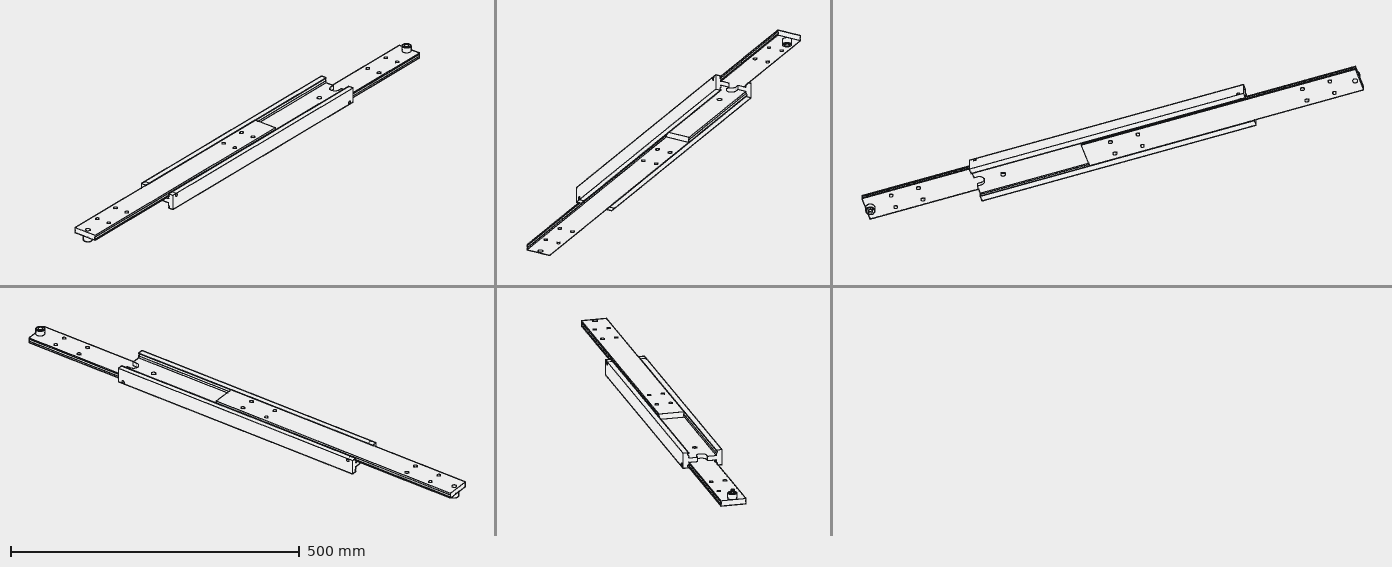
import cadquery as cq
housing_width = 70.0
housing_height = 28.0
slide_length = 500.0
web_thickness = 8.0
channel_depth = (housing_height - web_thickness) / 2

rail_travel = 200.0
rail_width = 45.0
rail_thickness = 10.0
rail_protrusion = 2.0
rail_z = housing_height / 2 + rail_protrusion - rail_thickness / 2
rail_bottom_z = rail_z - rail_thickness / 2
rail_end_y = slide_length / 2 + rail_travel

side_gap = 2.25
channel_width = rail_width + 2 * side_gap
raceway_diameter = 5.0
raceway_z = 10.5
raceway_x = 24.0

stop_diameter = 16.0
stop_height = 10.5
stop_chamfer = 1.0
stop_y = rail_end_y - stop_diameter / 2
shank_diameter = 8.5
socket_diameter = 8.0
socket_depth = stop_height / 2

notch_width = 18.0
notch_center_depth = 7.0
web_hole_diameter = 8.0
web_hole_end_distance = 50.0
flange_hole_diameter = 5.0
flange_hole_end_distance = 10.0

mounting_pair_spacing = 25.0
round_hole_diameter = 6.0
round_hole_distances = (50.0, 400.0)
slot_width = 6.0
slot_length = 7.0
slot_distances = (100.0, 450.0)


def raceway_pair(z, center_y):
    """Two rods along Y that cut the ball grooves at height z."""
    return (
        cq.Workplane("XZ", origin=(0, center_y, z))
        .pushPoints([(-raceway_x, 0), (raceway_x, 0)])
        .circle(raceway_diameter / 2)
        .extrude(slide_length / 2, both=True)
    )


def end_notch(end):
    """U-shaped notch in the web, open at the housing end (end = 1 or -1)."""
    end_y = end * slide_length / 2
    round_y = end_y - end * notch_center_depth
    half_width = notch_width / 2
    return (
        cq.Workplane("XY")
        .moveTo(-half_width, end_y)
        .lineTo(-half_width, round_y)
        .threePointArc((0, round_y - end * half_width), (half_width, round_y))
        .lineTo(half_width, end_y)
        .close()
        .extrude(web_thickness / 2, both=True)
    )


def web_hole(end):
    """Round hole through the web near the housing end."""
    hole_y = end * (slide_length / 2 - web_hole_end_distance)
    return (
        cq.Workplane("XY", origin=(0, hole_y, 0))
        .circle(web_hole_diameter / 2)
        .extrude(web_thickness / 2, both=True)
    )


def flange_hole(end):
    """Cross hole through both flanges into the raceways of the rail that slides out at this end."""
    hole_y = end * (slide_length / 2 - flange_hole_end_distance)
    return (
        cq.Workplane("YZ", origin=(0, hole_y, -end * raceway_z))
        .circle(flange_hole_diameter / 2)
        .extrude(housing_width / 2, both=True)
    )


def make_housing():
    body = cq.Workplane("XY").box(housing_width, slide_length, housing_height)
    for end in (-1, 1):
        channel_z = -end * (web_thickness + channel_depth) / 2
        channel = cq.Workplane("XY", origin=(0, 0, channel_z)).box(channel_width, slide_length, channel_depth)
        body = body.cut(channel).cut(raceway_pair(-end * raceway_z, 0))
        body = body.cut(end_notch(end)).cut(web_hole(end)).cut(flange_hole(end))
    return body


def mounting_points(distances):
    """Pairs of hole centers at the given distances from the outer rail end."""
    half_spacing = mounting_pair_spacing / 2
    return [(x, rail_end_y - distance) for distance in distances for x in (-half_spacing, half_spacing)]


def make_rail():
    """Rail of the upper channel, slid out towards +Y."""
    body = cq.Workplane("XY", origin=(0, rail_travel, rail_z)).box(rail_width, slide_length, rail_thickness)
    body = body.cut(raceway_pair(raceway_z, rail_travel))
    bottom = cq.Workplane("XY", origin=(0, 0, rail_bottom_z))
    round_holes = (
        bottom.pushPoints(mounting_points(round_hole_distances))
        .circle(round_hole_diameter / 2)
        .extrude(rail_thickness)
    )
    slots = (
        bottom.pushPoints(mounting_points(slot_distances))
        .slot2D(slot_length, slot_width, 90)
        .extrude(rail_thickness)
    )
    shank_hole = bottom.center(0, stop_y).circle(shank_diameter / 2).extrude(rail_thickness)
    return body.cut(round_holes).cut(slots).cut(shank_hole)


def make_stop():
    """Stop below the upper rail: a chamfered head with a socket, and a shank flush with the rail top."""
    head_plane = cq.Workplane("XY", origin=(0, stop_y, rail_bottom_z - stop_height))
    head = head_plane.circle(stop_diameter / 2).extrude(stop_height).faces("<Z").chamfer(stop_chamfer)
    shank = head_plane.circle(shank_diameter / 2).extrude(stop_height + rail_thickness)
    socket = head_plane.circle(socket_diameter / 2).extrude(socket_depth)
    return head.union(shank).cut(socket)


housing = make_housing()
rail = make_rail()
stop = make_stop()

bodies = [housing.val()]
for part in (rail, stop):
    upper = part.rotate((0, 0, 0), (0, 0, 1), 180)
    lower = part.rotate((0, 0, 0), (0, 1, 0), 180)
    bodies += [upper.val(), lower.val()]

result = cq.Compound.makeCompound(bodies)